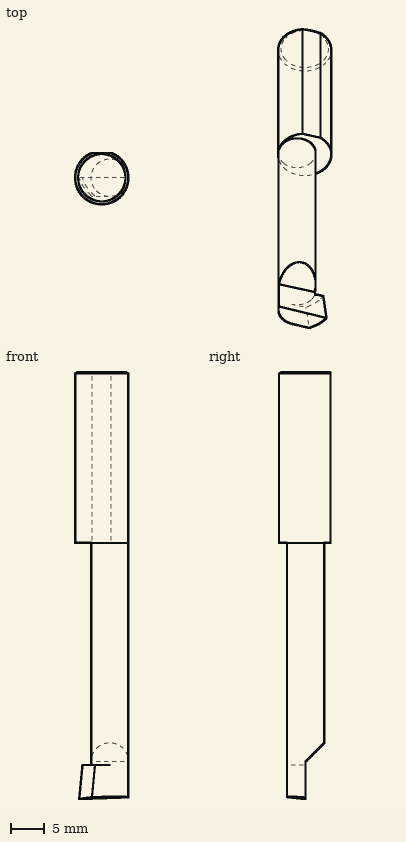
import cadquery as cq
import math


overall_length = 63.5

shank_diameter = 7.94
shank_radius = shank_diameter / 2
shank_length = 25.4
shank_flat_y = 3.71
chamfer_radial = 0.45
chamfer_height = 0.25
shank_bottom_z = overall_length - shank_length

neck_diameter = 5.56
neck_radius = neck_diameter / 2
neck_x = shank_radius - neck_radius

rake_runout_z = 5.6
rake_runout_angle = 45.0

head_height = 5.12
tip_x = -3.37
clearance_end_x = -2.27
clearance_end_y = -1.95
clearance_radius = 5.0
heel_x = -1.49
side_relief_angle = 5.5
end_relief_angle_x = 2.0
end_relief_angle_y = 5.0


def tan_deg(angle):
    return math.tan(math.radians(angle))


def make_shank():
    shank = (
        cq.Workplane("XY", origin=(0, 0, shank_bottom_z))
        .circle(shank_radius)
        .extrude(shank_length)
        .faces(">Z")
        .edges()
        .chamfer(chamfer_height, chamfer_radial)
    )
    beyond_flat = (
        cq.Workplane("XY", origin=(0, shank_flat_y, shank_bottom_z))
        .rect(shank_diameter, shank_radius, centered=(True, False))
        .extrude(shank_length)
    )
    return shank.cut(beyond_flat)


def make_neck():
    neck = cq.Workplane("XY", origin=(neck_x, 0, 0)).circle(neck_radius).extrude(shank_bottom_z)
    cut_depth = shank_diameter
    cut_top_z = rake_runout_z + cut_depth * tan_deg(rake_runout_angle)
    rake_cut = (
        cq.Workplane("YZ")
        .polyline([(0, 0), (cut_depth, 0), (cut_depth, cut_top_z), (0, rake_runout_z)])
        .close()
        .extrude(shank_diameter, both=True)
    )
    return neck.cut(rake_cut)


def head_section(z):
    """Wire of the head cross-section at height z, shifted in X by the side relief."""
    shift = z * tan_deg(side_relief_angle)
    return (
        cq.Workplane("XY", origin=(0, 0, z))
        .moveTo(neck_x, 0)
        .lineTo(tip_x + shift, 0)
        .radiusArc((clearance_end_x + shift, clearance_end_y), -clearance_radius)
        .lineTo(heel_x + shift, -neck_radius)
        .lineTo(neck_x, -neck_radius)
        .close()
        .val()
    )


def make_head():
    return cq.Workplane(cq.Solid.makeLoft([head_section(0), head_section(head_height)], True))


def make_end_relief():
    """Block below the sloping end face, whose lowest point is the cutting tip."""
    depth = shank_diameter
    width = 4 * shank_diameter
    normal = cq.Vector(-tan_deg(end_relief_angle_x), tan_deg(end_relief_angle_y), 1)
    end_plane = cq.Plane(origin=(tip_x, 0, 0), xDir=(1, 0, tan_deg(end_relief_angle_x)), normal=normal)
    return cq.Workplane(end_plane).rect(width, width).extrude(-depth)


result = make_shank().union(make_neck()).union(make_head()).cut(make_end_relief())